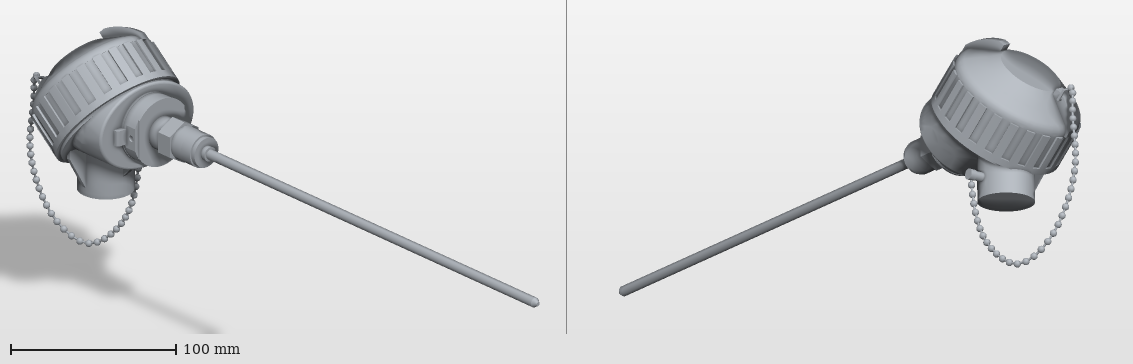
import cadquery as cq
import math


cap_tilt = 38.0
cap_axis_offset = 20.5
cap_radius = 87.63 / 2
cap_seat = 18.5
cap_wall_top = 46.5
cap_shoulder_start = 42.4
cap_shoulder_radius = 38.6
cap_shoulder_height = 53.0
shoulder_bulge = 0.8
cap_disc_radius = 20.4
cap_top = 64.3

grip_count = 24
grip_groove_width = math.pi * cap_radius / grip_count
grip_start_angle = -90 / grip_count
grip_groove_depth = 1.6
grip_lip = 4.5
grip_bottom = cap_seat + grip_lip

chain_lug_azimuth = 210.0
plain_lug_azimuth = 30.0
lug_thickness = 7.5
lug_inner_radius = 22.0
lug_outer_radius = 43.8
lug_height = 67.6
lug_flat_end = 26.0
lug_crown = (36.5, 61.1)
lug_back_height = 51.5
chain_hole_radius = 1.2
chain_hole = (27.5, 63.8)

clip_wire = 1.4
clip_clearance = 0.75
clip_inner_width = lug_thickness + 2 * clip_clearance
clip_inner_height = 5.5

head_half_width = 37.8
head_half_height = 27.2
head_length = 60.0
head_edge_fillet = 1.5

gasket_radius = 41.0
gasket_thickness = 2.0
head_seat = cap_seat - gasket_thickness

neck_radius = 21.6
neck_band_radius = 22.0
neck_length = 13.3
neck_flat_half_width = 20.3
neck_flat_start = 3.6
neck_band = 1.5
neck_end_half_width = 18.0
neck_hole_radius = 2.0
neck_hole_depth = 3.0
neck_hole_x = 8.2

ear_half_span = 27.3
ear_thickness = 3.8
ear_height = 10.0
ear_chamfer = 1.2

spout_x = -38.2
spout_radius = 17.5
spout_bottom = -53.6

web_thickness = 3.0
web_leg = 12.5
web_hole_radius = 2.0
web_hole_depth = 1.0
web_hole_x = -16.2
web_hole_z = -31.4

gusset_bottom = -48.0
gusset_top = -26.0
gusset_reach = 30.0

fitting_radius = 10.7
hex_start = 22.8
hex_end = 33.6
hex_circumradius = 13.4
nut_start = 42.7
nut_shoulder = 51.0
nut_end = 54.0
nut_end_radius = 9.6
fitting_socket_depth = 8.0

ferrule_radius = 4.6
ferrule_end = 57.3

probe_radius = 3.175
probe_end = 357.5
probe_tip_length = 3.0
probe_tip_radius = 1.2

anchor_x = -37.2
anchor_z = -41.0
anchor_shank_radius = 2.9
anchor_head_radius = 3.4
anchor_head_start = 23.5
anchor_head_end = 27.6
anchor_depth = 6.0

bead_radius = 2.2
link_radius = 0.7
bead_pitch = 6.2
chain_end_gap = 0.2
chain_points = [
    (-84.1, -13.7, 9.5),
    (-87.5, -12.8, 8.0),
    (-92.5, -10.0, -5.4),
    (-99.7, -7.0, -42.0),
    (-99.2, 0.5, -75.0),
    (-90.0, 9.5, -98.5),
    (-75.0, 16.5, -106.8),
    (-58.7, 22.0, -97.2),
    (-43.2, 24.2, -74.7),
    (anchor_x, 25.5, anchor_z - anchor_head_radius - chain_end_gap),
]

tilt = math.radians(cap_tilt)
cap_normal = (-math.cos(tilt), 0, math.sin(tilt))
cap_uphill = (math.sin(tilt), 0, math.cos(tilt))
cap_origin = tuple(-cap_axis_offset * c for c in cap_uphill)
cap_plane = cq.Plane(origin=cap_origin, xDir=cap_uphill, normal=cap_normal)


def in_cap_frame(body):
    """Move a body modelled about the Z axis onto the tilted cap axis."""
    return cq.Workplane(body.val().moved(cq.Location(cap_plane)))


def x_cylinder(radius, start, end):
    return cq.Workplane("YZ").workplane(offset=start).circle(radius).extrude(end - start)


def make_cap_dome():
    shoulder_middle = (
        (cap_shoulder_start + cap_shoulder_radius) / 2 + shoulder_bulge,
        (cap_wall_top + cap_shoulder_height) / 2 + shoulder_bulge,
    )
    profile = (
        cq.Workplane("XZ")
        .moveTo(0, cap_seat)
        .lineTo(cap_radius, cap_seat)
        .lineTo(cap_radius, cap_wall_top)
        .lineTo(cap_shoulder_start, cap_wall_top)
        .threePointArc(shoulder_middle, (cap_shoulder_radius, cap_shoulder_height))
        .lineTo(cap_disc_radius, cap_top)
        .lineTo(0, cap_top)
        .close()
    )
    return profile.revolve(360, (0, 0, 0), (0, 1, 0))


def make_cap_lug(azimuth):
    profile = (
        cq.Workplane("XZ")
        .moveTo(lug_inner_radius, cap_wall_top)
        .lineTo(lug_inner_radius, lug_height)
        .lineTo(lug_flat_end, lug_height)
        .threePointArc(lug_crown, (lug_outer_radius, lug_back_height))
        .lineTo(lug_outer_radius, cap_wall_top)
        .close()
    )
    lug = profile.extrude(lug_thickness / 2, both=True)
    return lug.rotate((0, 0, 0), (0, 0, 1), azimuth)


def make_chain_hole():
    hole = cq.Workplane("XZ").center(*chain_hole).circle(chain_hole_radius)
    return hole.extrude(lug_thickness, both=True).rotate((0, 0, 0), (0, 0, 1), chain_lug_azimuth)


def make_cap():
    cap = make_cap_dome()
    grooves = (
        cq.Workplane("XY")
        .workplane(offset=grip_bottom)
        .polarArray(cap_radius, grip_start_angle, 360, grip_count)
        .rect(2 * grip_groove_depth, grip_groove_width)
        .extrude(cap_wall_top - grip_bottom)
    )
    cap = cap.cut(grooves)
    for azimuth in (plain_lug_azimuth, chain_lug_azimuth):
        cap = cap.union(make_cap_lug(azimuth))
    cap = cap.cut(make_chain_hole())
    return in_cap_frame(cap)


def make_clip():
    outer_width = clip_inner_width + 2 * clip_wire
    outer_height = clip_inner_height + 2 * clip_wire
    hole_radius, hole_height = chain_hole
    middle = hole_height + (clip_inner_height + clip_wire) / 2
    frame = (
        cq.Workplane("YZ", origin=(hole_radius - clip_wire / 2, 0, middle))
        .rect(outer_width, outer_height)
        .rect(clip_inner_width, clip_inner_height)
        .extrude(clip_wire)
    )
    return in_cap_frame(frame.rotate((0, 0, 0), (0, 0, 1), chain_lug_azimuth))


def make_gasket():
    disc = cq.Workplane("XY").workplane(offset=head_seat).circle(gasket_radius)
    return in_cap_frame(disc.extrude(gasket_thickness))


def make_neck():
    neck = x_cylinder(neck_radius, 0, neck_length)
    band_start = neck_length - neck_band
    neck = neck.union(x_cylinder(neck_band_radius, 0, neck_band))
    neck = neck.union(x_cylinder(neck_band_radius, band_start, neck_length))
    flats = ((neck_flat_start, neck_flat_half_width), (band_start, neck_end_half_width))
    for start, half_width in flats:
        across_flats = cq.Workplane(origin=(start, 0, 0)).box(
            neck_length, 2 * half_width, 4 * neck_radius, centered=(False, True, True)
        )
        round_stock = x_cylinder(2 * neck_radius, start, start + neck_length)
        neck = neck.cut(round_stock.cut(across_flats))
    hole = (
        cq.Workplane("XZ", origin=(0, -neck_flat_half_width, 0))
        .center(neck_hole_x, 0)
        .circle(neck_hole_radius)
        .extrude(-neck_hole_depth)
    )
    return neck.cut(hole)


def make_ears():
    bar = cq.Workplane().box(
        ear_thickness, 2 * ear_half_span, ear_height, centered=(False, True, True)
    )
    return bar.faces(">X").edges("|Z").chamfer(ear_chamfer)


def make_spout():
    return (
        cq.Workplane("XY", origin=(spout_x, 0, spout_bottom))
        .circle(spout_radius)
        .extrude(-spout_bottom)
    )


def make_web():
    """Triangular web with a blind hole, between the spout and the underside of the head."""
    spout_edge = spout_x + spout_radius
    web = (
        cq.Workplane("XZ")
        .polyline([
            (spout_x, 0),
            (spout_x, -head_half_height - web_leg),
            (spout_edge, -head_half_height - web_leg),
            (spout_edge + web_leg, -head_half_height),
            (spout_edge + web_leg, 0),
        ])
        .close()
        .extrude(web_thickness / 2, both=True)
    )
    hole = (
        cq.Workplane("XZ", origin=(0, -web_thickness / 2, 0))
        .center(web_hole_x, web_hole_z)
        .circle(web_hole_radius)
        .extrude(-web_hole_depth)
    )
    return web.cut(hole)


def make_gusset():
    """Sloping rib on the -Y side of the spout."""
    return (
        cq.Workplane("YZ", origin=(spout_x, 0, 0))
        .polyline([
            (0, gusset_bottom),
            (-spout_radius, gusset_bottom),
            (-gusset_reach, gusset_top),
            (-gusset_reach, 0),
            (0, 0),
        ])
        .close()
        .extrude(web_thickness / 2, both=True)
    )


def make_head():
    shell = (
        cq.Workplane("YZ")
        .ellipse(head_half_width, head_half_height)
        .extrude(-head_length)
        .faces(">X")
        .edges()
        .fillet(head_edge_fillet)
    )
    head = shell.union(make_spout()).union(make_web()).union(make_gusset())
    gasket_recess = cq.Workplane("XY").workplane(offset=head_seat).circle(gasket_radius)
    cap_space = cq.Workplane("XY").workplane(offset=cap_seat).circle(cap_radius)
    above_seat = gasket_recess.extrude(gasket_thickness).union(cap_space.extrude(cap_top))
    head = head.cut(in_cap_frame(above_seat))
    head = head.union(make_neck()).union(make_ears())
    socket = x_cylinder(fitting_radius, neck_length - fitting_socket_depth, neck_length)
    return head.cut(socket).cut(make_anchor_screw())


def make_fitting_body():
    body = x_cylinder(fitting_radius, neck_length - fitting_socket_depth, nut_start)
    hexagon = (
        cq.Workplane("YZ")
        .workplane(offset=hex_start)
        .polygon(6, 2 * hex_circumradius)
        .extrude(hex_end - hex_start)
        .rotate((0, 0, 0), (1, 0, 0), 90)
    )
    bore = x_cylinder(probe_radius, 0, nut_start)
    return body.union(hexagon).cut(bore)


def make_nut():
    nut = x_cylinder(fitting_radius, nut_start, nut_shoulder)
    nut = nut.union(x_cylinder(nut_end_radius, nut_shoulder, nut_end))
    return nut.cut(x_cylinder(probe_radius, nut_start, nut_end))


def make_ferrule():
    ring = x_cylinder(ferrule_radius, nut_end, ferrule_end)
    return ring.cut(x_cylinder(probe_radius, nut_end, ferrule_end))


def make_probe():
    start = neck_length - fitting_socket_depth
    return (
        cq.Workplane("XY")
        .moveTo(start, 0)
        .lineTo(start, probe_radius)
        .lineTo(probe_end - probe_tip_length, probe_radius)
        .lineTo(probe_end, probe_tip_radius)
        .lineTo(probe_end, 0)
        .close()
        .revolve(360, (0, 0, 0), (1, 0, 0))
    )


def make_anchor_screw():
    shank = (
        cq.Workplane("XZ", origin=(anchor_x, spout_radius - anchor_depth, anchor_z))
        .circle(anchor_shank_radius)
        .extrude(-(anchor_head_start - spout_radius + anchor_depth))
    )
    head = (
        cq.Workplane("XZ", origin=(anchor_x, anchor_head_start, anchor_z))
        .circle(anchor_head_radius)
        .extrude(-(anchor_head_end - anchor_head_start))
    )
    return shank.union(head)


def make_link(start, end):
    span = end - start
    return cq.Solid.makeCylinder(link_radius, span.Length, start, span)


def make_chain():
    """Beads evenly spaced along a hanging curve, joined by short straight links."""
    path = cq.Edge.makeSpline([cq.Vector(*point) for point in chain_points])
    bead_count = round(path.Length() / bead_pitch)
    stops = [path.positionAt((i + 0.5) / bead_count) for i in range(bead_count)]
    beads = [cq.Workplane(origin=stop.toTuple()).sphere(bead_radius).val() for stop in stops]
    stops = [path.startPoint()] + stops + [path.endPoint()]
    links = [make_link(start, end) for start, end in zip(stops, stops[1:])]
    return cq.Workplane(beads[0].fuse(*beads[1:], *links))


cap = make_cap()
clip = make_clip()
gasket = make_gasket()
head = make_head()
fitting_body = make_fitting_body()
nut = make_nut()
ferrule = make_ferrule()
probe = make_probe()
anchor_screw = make_anchor_screw()
chain = make_chain()

result = cq.Compound.makeCompound([
    cap.solids().val(),
    clip.solids().val(),
    gasket.solids().val(),
    head.solids().val(),
    fitting_body.solids().val(),
    nut.solids().val(),
    ferrule.solids().val(),
    probe.solids().val(),
    anchor_screw.solids().val(),
    chain.solids().val(),
])